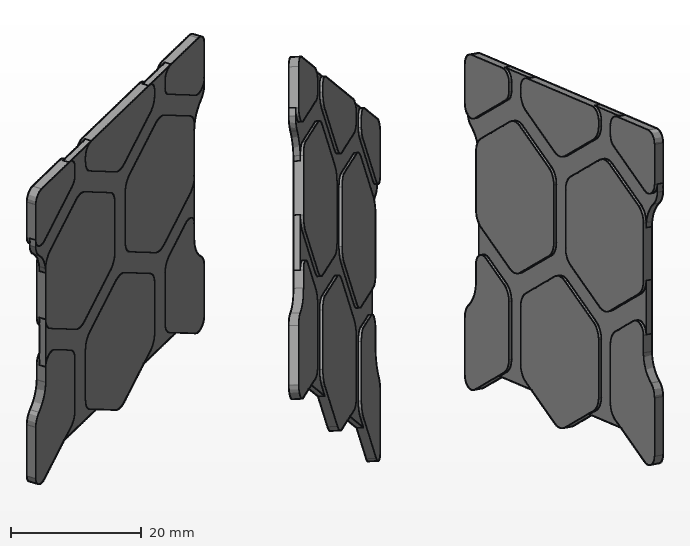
import cadquery as cq
import math

column_pitch = 25.0
row_pitch = column_pitch * math.sin(math.radians(60))
tile_gap = 3.3
edge_angle = math.radians(30)
hexagon_half_width = (column_pitch - tile_gap) / 2
hexagon_radius = hexagon_half_width / math.cos(edge_angle)
hexagon_half_side = hexagon_radius / 2
middle_row = row_pitch
top_row = 2 * row_pitch

tile_corner_radius = 2.8
cut_corner_radius = 1.85

tile_thickness = 1.6
tile_proud = 0.5
web_thickness = tile_thickness - tile_proud

panel_half_width = 52.9 / 2
panel_height = 53.54
tip_loss = tile_corner_radius * (1 / math.cos(edge_angle) - 1)
panel_top = panel_height - (hexagon_radius - tip_loss)
web_bottom = -8.2
waist_half_width = column_pitch / 2 + hexagon_half_width

shoulder_convex_height = 2.15
shoulder_concave_height = 4.3
shoulder_height = shoulder_convex_height + shoulder_concave_height
shoulder_step = panel_half_width - waist_half_width
notch_top = panel_top - 9.56
notch_bottom = panel_top - 42.3

shoulder_angle = 2 * math.atan(shoulder_step / shoulder_height)
convex_radius = shoulder_convex_height / math.sin(shoulder_angle)
concave_radius = shoulder_concave_height / math.sin(shoulder_angle)


def convex_point(angle):
    """Distance inward from the panel side and along Z, on the convex arc of a shoulder."""
    return convex_radius * (1 - math.cos(angle)), convex_radius * math.sin(angle)


def concave_point(angle):
    """Distance inward from the panel side and along Z, on the concave arc of a shoulder."""
    inward = shoulder_step - concave_radius * (1 - math.cos(angle))
    return inward, shoulder_height - concave_radius * math.sin(angle)


def make_notch():
    """Cutter for the notch in the +Y side."""
    inward_and_along = [
        convex_point(shoulder_angle / 2),
        convex_point(shoulder_angle),
        concave_point(shoulder_angle / 2),
        concave_point(0),
    ]
    upper = [(panel_half_width - inward, notch_top - along) for inward, along in inward_and_along]
    lower = [(panel_half_width - inward, notch_bottom + along) for inward, along in inward_and_along]
    return (
        cq.Workplane("YZ")
        .moveTo(panel_half_width, notch_top)
        .threePointArc(upper[0], upper[1])
        .threePointArc(upper[2], upper[3])
        .lineTo(*lower[3])
        .threePointArc(lower[2], lower[1])
        .threePointArc(lower[0], (panel_half_width, notch_bottom))
        .close()
        .extrude(tile_thickness)
    )


def make_prism(points):
    """Full-thickness block with the given (Y, Z) corners."""
    return cq.Workplane("YZ").polyline(points).close().extrude(tile_thickness)


def make_hexagon_tile(y, z):
    """Whole hexagon with rounded corners."""
    points = [
        (y, z + hexagon_radius),
        (y + hexagon_half_width, z + hexagon_half_side),
        (y + hexagon_half_width, z - hexagon_half_side),
        (y, z - hexagon_radius),
        (y - hexagon_half_width, z - hexagon_half_side),
        (y - hexagon_half_width, z + hexagon_half_side),
    ]
    return make_prism(points).edges("|X").fillet(tile_corner_radius)


def make_top_tile():
    """Lower part of the top-row hexagon, cut off by the panel top."""
    side_bottom = top_row - hexagon_half_side
    points = [
        (-hexagon_half_width, panel_top),
        (hexagon_half_width, panel_top),
        (hexagon_half_width, side_bottom),
        (0, top_row - hexagon_radius),
        (-hexagon_half_width, side_bottom),
    ]
    tile = make_prism(points).edges("|X").edges("not >Z").fillet(tile_corner_radius)
    return tile.edges("|X").edges(">Z").edges("<Y or >Y").fillet(cut_corner_radius)


corner_tile_inner = column_pitch - hexagon_half_width
corner_tile_reach = hexagon_half_side + (panel_half_width - corner_tile_inner) * math.tan(edge_angle)


def make_top_corner_tile():
    """Tile in the +Y top corner; its slanted edge runs straight out to the panel side."""
    points = [
        (corner_tile_inner, panel_top),
        (panel_half_width, panel_top),
        (panel_half_width, top_row - corner_tile_reach),
        (corner_tile_inner, top_row - hexagon_half_side),
    ]
    return make_prism(points).edges("|X").fillet(cut_corner_radius)


def make_bottom_corner_tile():
    """Tile in the +Y bottom corner, narrowed by the side notch."""
    points = [
        (corner_tile_inner, hexagon_half_side),
        (panel_half_width, corner_tile_reach),
        (panel_half_width, -corner_tile_reach),
        (corner_tile_inner, -hexagon_half_side),
    ]
    tile = make_prism(points).cut(make_notch())
    tile = tile.edges("|X and >Z").fillet(cut_corner_radius)
    tile = tile.edges("|X and <Z").fillet(cut_corner_radius)
    return tile.edges("|X and <Y").fillet(tile_corner_radius)


def make_web(tiles):
    """Plate between the tiles, with a through opening where each tile sits."""
    web = (
        cq.Workplane("YZ", origin=(tile_proud, 0, 0))
        .center(0, (panel_top + web_bottom) / 2)
        .rect(2 * panel_half_width, panel_top - web_bottom)
        .extrude(web_thickness)
    )
    web = web.edges("|X").edges(">Z").fillet(cut_corner_radius)
    notch = make_notch()
    web = web.cut(notch).cut(notch.mirror("XZ"))
    for tile in tiles:
        web = web.cut(tile)
    return web


top_corner_tile = make_top_corner_tile()
bottom_corner_tile = make_bottom_corner_tile()
tiles = [
    make_hexagon_tile(0, 0),
    make_hexagon_tile(column_pitch / 2, middle_row),
    make_hexagon_tile(-column_pitch / 2, middle_row),
    make_top_tile(),
    top_corner_tile,
    top_corner_tile.mirror("XZ"),
    bottom_corner_tile,
    bottom_corner_tile.mirror("XZ"),
]
web = make_web(tiles)

result = cq.Compound.makeCompound([web.val(), *[tile.val() for tile in tiles]])